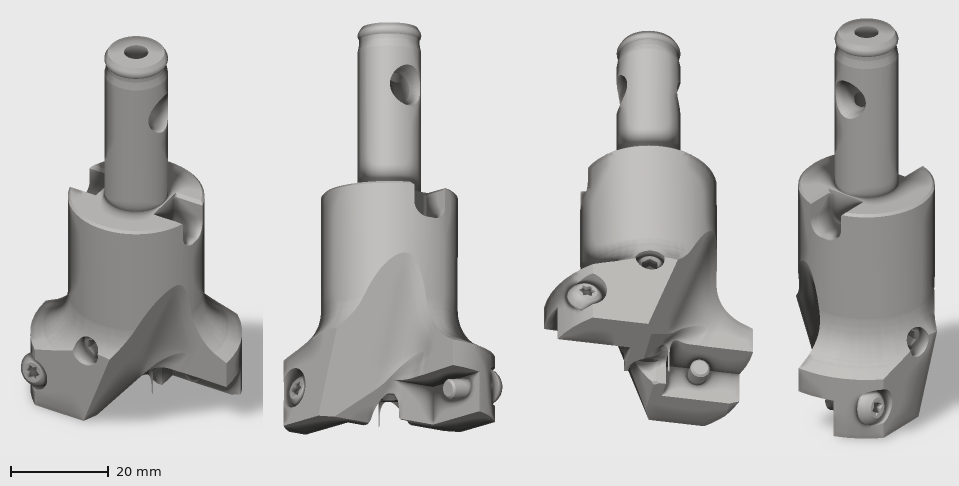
import cadquery as cq
import math

total_height = 83.0
outer_radius = 43.4 / 2
flat_offset = 16.0

shank_radius = 13.0 / 2
groove_radius = 12.4 / 2
shank_base_z = 47.9
shank_taper_z = 77.9
groove_low_z = 79.7
groove_high_z = 80.6
bead_middle_z = 81.6
bead_top_radius = 6.3
top_cone_z = 82.2
top_face_radius = 5.8

hub_radius = 28.0 / 2
hub_chamfer = 0.5
flare_top_z = 23.65
flare_radius = 10.0
flare_end_angle = 31.0
rim_z = 13.7

bore_diameter = 5.0
lower_bore_diameter = 8.0
lower_bore_depth = 5.5
lower_bore_chamfer = 0.5

cross_hole_z = 70.0
cross_hole_diameter = 6.5
cross_sink_diameter = 8.55
cross_sink_x = 2.5

notch_width = 8.0
notch_inner_x = 6.8
notch_depth = 7.05
notch_corner_radius = 3.0
notch_end_fillet = 0.7
notch_edge_chamfer = 0.7

flute_lean = 19.6
flute_slant = 20.8
flute_corner_x = 3.15
flute_fillet = 8.4
wing_face_offset = 0.5
gash_lean = 40.0
gash_corner_x = -1.8
gash_fillet = 3.0
gash_extra_depth = 0.11

right_pocket_inner_x = 4.2
left_pocket_inner_x = 5.0
seat_offset = 7.5
right_pocket_corner_radius = 2.15
right_pocket_height = 7.8
left_pocket_height = 8.3
left_pocket_inner_height = 7.9
relief_offset = 3.3
relief_height = 5.65
relief_round = 1.25
bevel_width = 2.5
bevel_height = 1.0
bevel_inner_x = 18.3

clamp_head_base = (13.0, 6.8)
left_clamp_x = 15.7
right_clamp_x = 11.4
clamp_tilt = 10.8
clamp_head_diameter = 7.5
clamp_head_height = 2.3
clamp_head_rim = 0.3
clamp_head_bulge = 0.2
clamp_head_top_diameter = 4.3
clamp_shaft_diameter = 4.0
clamp_shaft_length = 10.3
clamp_tip_chamfer = 0.4
clamp_recess_diameter = 8.0
star_lobes = 6
star_outer_radius = 1.75
star_inner_radius = 1.2
star_depth = 1.25

plug_z = 17.0
plug_turn = 9.7
plug_diameter = 6.0
plug_face_radius = 13.45
plug_length = 5.0
plug_chamfer = 0.5
plug_hex_diameter = 3.65
plug_hex_depth = 2.5

reach = 66.4
z_axis = cq.Vector(0, 0, 1)


def opposite(shape):
    """The shape turned half a turn about the tool axis."""
    return shape.rotate((0, 0, 0), (0, 0, 1), 180)


def turned_body():
    def flare_point(slope):
        """Point of the flare arc where the surface slopes by this angle from horizontal."""
        return (
            hub_radius + flare_radius * (1 - math.sin(slope)),
            flare_top_z - flare_radius * math.cos(slope),
        )

    end_slope = math.radians(flare_end_angle)
    middle_slope = (end_slope + math.pi / 2) / 2
    return (
        cq.Workplane("XZ")
        .moveTo(0, 0)
        .lineTo(outer_radius, 0)
        .lineTo(outer_radius, rim_z)
        .lineTo(*flare_point(end_slope))
        .threePointArc(flare_point(middle_slope), (hub_radius, flare_top_z))
        .lineTo(hub_radius, shank_base_z - hub_chamfer)
        .lineTo(hub_radius - hub_chamfer, shank_base_z)
        .lineTo(shank_radius, shank_base_z)
        .lineTo(shank_radius, shank_taper_z)
        .lineTo(groove_radius, groove_low_z)
        .lineTo(groove_radius, groove_high_z)
        .threePointArc((shank_radius, bead_middle_z), (bead_top_radius, top_cone_z))
        .lineTo(top_face_radius, total_height)
        .lineTo(0, total_height)
        .close()
        .revolve(360, (0, 0, 0), (0, 1, 0))
    )


def flats_block():
    return cq.Workplane("XY").box(reach, 2 * flat_offset, total_height, centered=(True, True, False))


def bores():
    bore = cq.Workplane("XY").circle(bore_diameter / 2).extrude(total_height)
    lower = cq.Workplane("XY").circle(lower_bore_diameter / 2).extrude(lower_bore_depth)
    lower_radius = lower_bore_diameter / 2
    mouth = cq.Workplane("XY").add(
        cq.Solid.makeCone(lower_radius + lower_bore_chamfer, lower_radius, lower_bore_chamfer)
    )
    return bore.union(lower).union(mouth)


def cross_hole():
    hole = cq.Workplane("YZ").center(0, cross_hole_z).circle(cross_hole_diameter / 2)
    hole = hole.extrude(2 * shank_radius, both=True)
    sink = cq.Workplane("XY").add(
        cq.Solid.makeCone(
            cross_hole_diameter / 2,
            cross_sink_diameter / 2,
            shank_radius - cross_sink_x,
            cq.Vector(cross_sink_x, 0, cross_hole_z),
            cq.Vector(1, 0, 0),
        )
    )
    return hole.union(sink).union(opposite(sink))


def drive_notch():
    floor_z = shank_base_z - notch_depth
    notch = (
        cq.Workplane("XY")
        .box(reach, notch_width, reach, centered=(False, True, False))
        .translate((notch_inner_x, 0, floor_z))
        .edges("|X and <Z")
        .fillet(notch_corner_radius)
        .faces("<X")
        .edges("not >Z")
        .fillet(notch_end_fillet)
    )
    half = notch_width / 2
    chamfer = (
        cq.Workplane("YZ", origin=(notch_inner_x, 0, shank_base_z))
        .polyline([
            (-half, -notch_edge_chamfer),
            (half, -notch_edge_chamfer),
            (half + notch_edge_chamfer, 0),
            (-half - notch_edge_chamfer, 0),
        ])
        .close()
        .extrude(hub_radius)
    )
    return notch.union(chamfer)


def flute_cutter(lean, slant, corner_x, wall_offset, fillet):
    """Wedge running up along a line that leans toward +X. Its wall is parallel to XZ, its floor
    is turned by `slant` from the wall's normal, and a fillet joins the two."""
    lean = math.radians(lean)
    slant = math.radians(slant)
    corner_u = corner_x * math.cos(lean)
    tangent = fillet / math.tan((math.pi / 2 + slant) / 2)
    along = cq.Plane(
        origin=(0, 0, 0),
        xDir=(math.cos(lean), 0, -math.sin(lean)),
        normal=(math.sin(lean), 0, math.cos(lean)),
    )
    floor_end = (corner_u - reach * math.sin(slant), -wall_offset - reach * math.cos(slant))
    return (
        cq.Workplane(along)
        .moveTo(reach, -wall_offset)
        .lineTo(corner_u + tangent, -wall_offset)
        .tangentArcPoint(
            (corner_u - tangent * math.sin(slant), -wall_offset - tangent * math.cos(slant)),
            relative=False,
        )
        .lineTo(*floor_end)
        .lineTo(reach, floor_end[1])
        .close()
        .extrude(reach, both=True)
    )


def flutes():
    flute = flute_cutter(flute_lean, flute_slant, flute_corner_x, wing_face_offset, flute_fillet)
    gash = flute_cutter(gash_lean, 0, gash_corner_x, wing_face_offset + gash_extra_depth, gash_fillet)
    return [flute, gash, opposite(flute), opposite(gash)]


def insert_seat(inner_x, inner_height, outer_height):
    """Seat for the insert in the +X wing."""
    return (
        cq.Workplane("XZ", origin=(0, seat_offset, 0))
        .polyline([
            (inner_x, 0),
            (inner_x, inner_height),
            (outer_radius, outer_height),
            (outer_radius, 0),
        ])
        .close()
        .extrude(reach)
    )


def right_seat():
    """Flat-topped seat with its inner top corner rounded."""
    seat = insert_seat(right_pocket_inner_x, right_pocket_height, right_pocket_height)
    corner_point = (right_pocket_inner_x, seat_offset - reach / 2, right_pocket_height)
    inner_top_edge = cq.selectors.NearestToPointSelector(corner_point)
    return seat.edges("|Y").edges(inner_top_edge).fillet(right_pocket_corner_radius)


def seat_relief():
    return (
        cq.Workplane("XY")
        .box(right_pocket_inner_x, relief_offset + wing_face_offset, relief_height, centered=False)
        .translate((0, -wing_face_offset, 0))
        .edges("|X and >Y and >Z")
        .fillet(relief_round)
    )


def seat_bevel():
    """Wedge under the right-hand seat, running from the bottom face up to the tip circle."""
    outer_height = bevel_height * (outer_radius - bevel_inner_x) / bevel_width
    return (
        cq.Workplane("XZ")
        .polyline([(bevel_inner_x, 0), (outer_radius, 0), (outer_radius, outer_height)])
        .close()
        .extrude(-reach)
    )


def clamp_plane(x):
    """Plane under the head of a screw in the -X wing, its normal pointing out of the head."""
    tilt = math.radians(clamp_tilt)
    offset, height = clamp_head_base
    outward = (0, -math.cos(tilt), math.sin(tilt))
    return cq.Plane(origin=(-x, -offset, height), xDir=(1, 0, 0), normal=outward)


def clamp_hole(x):
    hole = cq.Workplane(clamp_plane(x)).circle(clamp_shaft_diameter / 2).extrude(-clamp_shaft_length)
    recess = cq.Workplane(clamp_plane(x)).circle(clamp_recess_diameter / 2).extrude(clamp_head_diameter)
    return hole.union(recess)


def clamp_screw(x):
    head_radius = clamp_head_diameter / 2
    top_radius = clamp_head_top_diameter / 2
    head = (
        cq.Workplane("XZ")
        .lineTo(head_radius, 0)
        .lineTo(head_radius, clamp_head_rim)
        .threePointArc(
            (
                (head_radius + top_radius) / 2 + clamp_head_bulge,
                (clamp_head_rim + clamp_head_height) / 2 + clamp_head_bulge,
            ),
            (top_radius, clamp_head_height),
        )
        .lineTo(0, clamp_head_height)
        .close()
        .revolve(360, (0, 0, 0), (0, 1, 0))
    )
    shaft = (
        cq.Workplane("XY").circle(clamp_shaft_diameter / 2).extrude(-clamp_shaft_length)
        .faces("<Z").chamfer(clamp_tip_chamfer)
    )
    star_points = []
    for i in range(2 * star_lobes):
        radius = star_inner_radius if i % 2 else star_outer_radius
        angle = math.pi * i / star_lobes
        star_points.append((radius * math.cos(angle), radius * math.sin(angle)))
    star = (
        cq.Workplane("XY", origin=(0, 0, clamp_head_height))
        .polyline(star_points).close().extrude(-star_depth)
    )
    screw = head.union(shaft).cut(star)
    return cq.Workplane("XY").add(screw.val().moved(cq.Location(clamp_plane(x))))


def plug_plane(distance):
    turn = math.radians(plug_turn)
    outward = cq.Vector(-math.sin(turn), -math.cos(turn), 0)
    origin = outward * distance + z_axis * plug_z
    return cq.Plane(origin=origin, xDir=z_axis, normal=outward)


def plug_hole():
    inner_end = plug_face_radius - plug_length
    return cq.Workplane(plug_plane(inner_end)).circle(plug_diameter / 2).extrude(outer_radius - inner_end)


def plug_screw():
    plug = (
        cq.Workplane(plug_plane(plug_face_radius - plug_length))
        .circle(plug_diameter / 2)
        .extrude(plug_length)
        .faces(cq.selectors.NearestToPointSelector(plug_plane(plug_face_radius).origin.toTuple()))
        .chamfer(plug_chamfer)
    )
    socket = cq.Workplane(plug_plane(plug_face_radius)).polygon(6, plug_hex_diameter).extrude(-plug_hex_depth)
    return plug.cut(socket)


def housing_body():
    body = turned_body().intersect(flats_block())
    body = body.cut(bores()).cut(cross_hole())
    notch = drive_notch()
    body = body.cut(notch).cut(opposite(notch))
    for cutter in flutes():
        body = body.cut(cutter)
    left_seat = opposite(insert_seat(left_pocket_inner_x, left_pocket_inner_height, left_pocket_height))
    body = body.cut(left_seat).cut(right_seat()).cut(seat_relief()).cut(seat_bevel())
    body = body.cut(clamp_hole(left_clamp_x)).cut(opposite(clamp_hole(right_clamp_x)))
    return body.cut(plug_hole())


housing = housing_body()
clamp_screws = []
for x, turn in ((left_clamp_x, 0), (right_clamp_x, 180)):
    clamp_screws.append(clamp_screw(x).rotate((0, 0, 0), (0, 0, 1), turn))
plug = plug_screw()

result = cq.Compound.makeCompound([housing.val(), *[screw.val() for screw in clamp_screws], plug.val()])